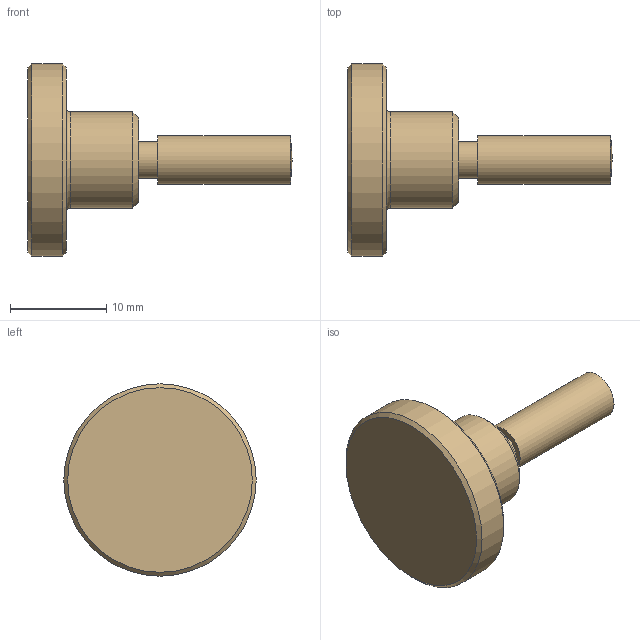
import cadquery as cq


head_radius = 10.0
head_thickness = 4.0
head_chamfer = 0.4

hub_radius = 5.0
hub_end = 11.5
hub_chamfer = 0.6
hub_fillet = 0.4

neck_radius = 1.875
neck_length = 2.0

shank_radius = 2.5
shank_end = 27.3
overall_length = 27.47

neck_end = hub_end + neck_length
tip_height = overall_length - shank_end


def revolve_about_x(half_profile):
    return half_profile.close().revolve(360, (0, 0, 0), (1, 0, 0))


def make_head_and_hub():
    fillet_end = head_thickness + hub_fillet
    half_profile = (
        cq.Workplane("XY")
        .lineTo(0, head_radius - head_chamfer)
        .lineTo(head_chamfer, head_radius)
        .lineTo(head_thickness - head_chamfer, head_radius)
        .lineTo(head_thickness, head_radius - head_chamfer)
        .lineTo(head_thickness, hub_radius + hub_fillet)
        .radiusArc((fillet_end, hub_radius), -hub_fillet)
        .lineTo(hub_end - hub_chamfer, hub_radius)
        .lineTo(hub_end, hub_radius - hub_chamfer)
        .lineTo(hub_end, 0)
    )
    return revolve_about_x(half_profile)


def make_neck_and_shank():
    tip_sphere_radius = (shank_radius**2 + tip_height**2) / (2 * tip_height)
    half_profile = (
        cq.Workplane("XY")
        .moveTo(hub_end, 0)
        .lineTo(hub_end, neck_radius)
        .lineTo(neck_end, neck_radius)
        .lineTo(neck_end, shank_radius)
        .lineTo(shank_end, shank_radius)
        .radiusArc((overall_length, 0), tip_sphere_radius)
    )
    return revolve_about_x(half_profile)


result = make_head_and_hub().union(make_neck_and_shank())